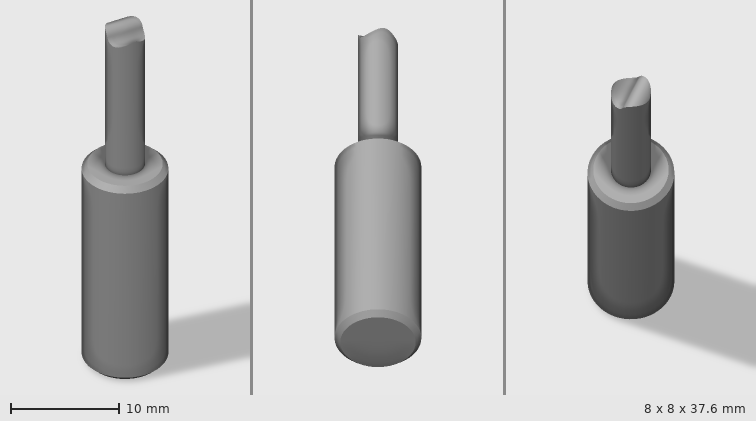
import cadquery as cq

total_length = 37.62
body_diameter = 8.0
body_length = 22.0
body_chamfer = 0.53
pin_diameter = 3.7
wave_height = 0.6

pin_radius = pin_diameter / 2
wave_mid_level = total_length - wave_height


def make_body():
    """Cylindrical body standing on Z = 0, chamfered at both ends."""
    body = cq.Workplane("XY").circle(body_diameter / 2).extrude(body_length)
    return body.faces("<Z or >Z").chamfer(body_chamfer)


def make_wave_prism():
    """Prism along Y whose top is a convex arc meeting a concave arc at X = 0."""
    crest = (-pin_radius / 2, wave_mid_level + wave_height)
    valley = (pin_radius / 2, wave_mid_level - wave_height)
    return (
        cq.Workplane("XZ")
        .moveTo(-pin_radius, body_length)
        .lineTo(-pin_radius, wave_mid_level)
        .threePointArc(crest, (0, wave_mid_level))
        .threePointArc(valley, (pin_radius, wave_mid_level))
        .lineTo(pin_radius, body_length)
        .close()
        .extrude(pin_diameter, both=True)
    )


def make_pin():
    """Round pin on top of the body, ending in the wave-shaped tip."""
    pin = cq.Workplane("XY").workplane(offset=body_length).circle(pin_radius)
    return pin.extrude(total_length - body_length).intersect(make_wave_prism())


result = make_body().union(make_pin())